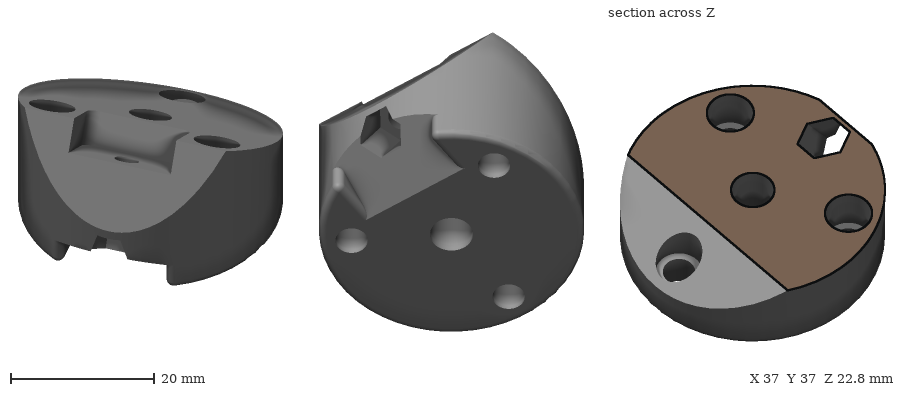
import cadquery as cq
import math

body_diameter = 37.0
body_radius = body_diameter / 2
body_height = 22.75
slope_angle = 30.0
ridge_y = -11.15
slope = math.tan(math.radians(slope_angle))

center_hole_diameter = 6.0
bolt_circle_radius = 14.0
bolt_hole_diameter = 4.5
bolt_head_diameter = 6.5
bolt_seat_height = 5.0
bolt_angles = (90, 210, 330)

pocket_width = 15.0
pocket_length = 8.0
pocket_depth = 5.0
pocket_corner_radius = 1.5

screw_diameter = 3.5
screw_setback = 3.63
screw_length = 4.0
nut_across_flats = 5.85
nut_corner_diameter = nut_across_flats / math.cos(math.radians(30))

relief_start_y = -8.95
edge_radius = 1.0

slope_plane = cq.Plane(origin=(0, ridge_y, body_height), xDir=(1, 0, 0), normal=(0, 0, 1))
slope_plane = slope_plane.rotated((-slope_angle, 0, 0))


def make_body():
    """Cylinder cut to the peaked side profile."""
    back_height = body_height - (body_radius - ridge_y) * slope
    front_height = body_height - (ridge_y + body_radius) / slope
    profile = (
        cq.Workplane("YZ")
        .moveTo(-body_radius, 0)
        .lineTo(body_radius, 0)
        .lineTo(body_radius, back_height)
        .lineTo(ridge_y, body_height)
        .lineTo(-body_radius, front_height)
        .close()
        .extrude(body_radius, both=True)
    )
    cylinder = cq.Workplane("XY").circle(body_radius).extrude(body_height)
    return cylinder.intersect(profile)


def make_relief():
    """Wedge below the front of the body, its ceiling rising towards the front."""
    front_y = -body_diameter
    return (
        cq.Workplane("YZ")
        .moveTo(relief_start_y, 0)
        .lineTo(front_y, 0)
        .lineTo(front_y, (relief_start_y - front_y) * slope)
        .close()
        .extrude(pocket_width / 2, both=True)
    )


def round_lower_edges(part):
    """Round the two relief mouth corners, then the rim of the base."""
    mouth_x = pocket_width / 2
    mouth_y = -math.sqrt(body_radius**2 - mouth_x**2)
    for side in (-1, 1):
        corner = cq.selectors.NearestToPointSelector((side * mouth_x, mouth_y, edge_radius))
        part = part.edges("|Z").edges(corner).fillet(edge_radius)
    rim = part.faces("<Z").edges(cq.selectors.NearestToPointSelector((0, body_radius, 0)))
    return rim.fillet(edge_radius)


def make_pocket():
    """Pocket centered on the ridge to open at the front, with its two back corners rounded."""
    return (
        cq.Workplane(slope_plane)
        .rect(pocket_width, 2 * pocket_length)
        .extrude(pocket_depth, both=True)
        .edges(cq.selectors.ParallelDirSelector(slope_plane.zDir))
        .edges(">Y")
        .fillet(pocket_corner_radius)
    )


def make_screw_hole():
    """Round hole down from the pocket floor and the nut recess up from the relief."""
    floor = cq.Workplane(slope_plane).workplane(offset=-pocket_depth).center(0, screw_setback)
    hole = floor.circle(screw_diameter / 2).extrude(-screw_length)
    nut_recess = (
        floor.workplane(offset=-screw_length)
        .polygon(6, nut_corner_diameter)
        .extrude(-body_height)
    )
    return hole.union(nut_recess)


def make_mounting_holes():
    """Vertical center hole and three counterbored bolt holes."""
    holes = cq.Workplane("XY").circle(center_hole_diameter / 2).extrude(body_height)
    for angle in bolt_angles:
        x = bolt_circle_radius * math.cos(math.radians(angle))
        y = bolt_circle_radius * math.sin(math.radians(angle))
        bolt = cq.Workplane("XY").center(x, y)
        head = bolt.workplane(offset=bolt_seat_height)
        holes = holes.union(bolt.circle(bolt_hole_diameter / 2).extrude(body_height))
        holes = holes.union(head.circle(bolt_head_diameter / 2).extrude(body_height))
    return holes


result = round_lower_edges(make_body().cut(make_relief()))
result = result.cut(make_pocket()).cut(make_screw_hole()).cut(make_mounting_holes())